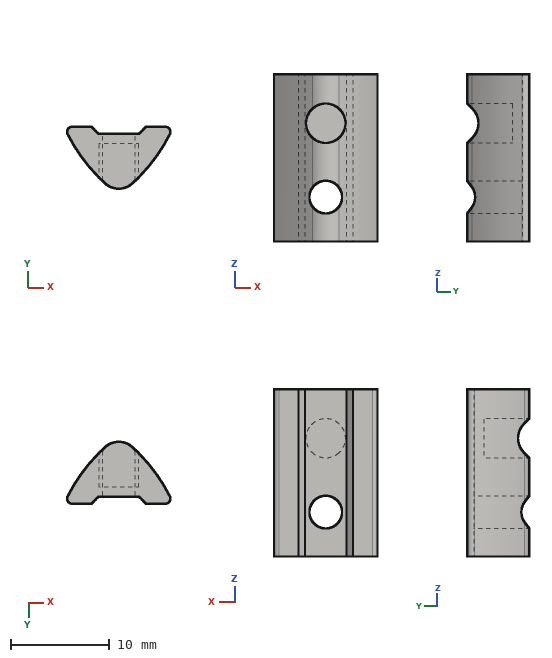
import cadquery as cq
import math

length = 17.0
width = 10.5
depth = 6.3

corner_radius = 0.53
nose_radius = 2.0
flank_radius = 17.0
groove_mouth_width = 5.5
groove_floor_width = 4.18
groove_depth = 0.7

blind_hole_diameter = 4.0
blind_hole_height = 12.0
blind_hole_depth = 4.59
through_hole_diameter = 3.3
through_hole_height = 4.5

corner_center = (width / 2 - corner_radius, -corner_radius)
nose_center = (0.0, nose_radius - depth)


def flank_center():
    """Centre of the arc that is tangent to the nose and corner rounds, enclosing both."""
    to_nose = flank_radius - nose_radius
    to_corner = flank_radius - corner_radius
    dx = corner_center[0] - nose_center[0]
    dy = corner_center[1] - nose_center[1]
    span = math.hypot(dx, dy)
    along = (to_nose**2 - to_corner**2 + span**2) / (2 * span)
    across = math.sqrt(to_nose**2 - along**2)
    x = nose_center[0] + (along * dx - across * dy) / span
    y = nose_center[1] + (along * dy + across * dx) / span
    return x, y


def point_on_circle(center, radius, angle):
    return center[0] + radius * math.cos(angle), center[1] + radius * math.sin(angle)


def direction(start, end):
    return math.atan2(end[1] - start[1], end[0] - start[0])


def mirrored(point):
    return -point[0], point[1]


def make_body():
    center = flank_center()
    nose_angle = direction(center, nose_center)
    corner_angle = direction(center, corner_center)
    nose_end = point_on_circle(center, flank_radius, nose_angle)
    flank_middle = point_on_circle(center, flank_radius, (nose_angle + corner_angle) / 2)
    flank_end = point_on_circle(center, flank_radius, corner_angle)
    corner_middle = point_on_circle(corner_center, corner_radius, (corner_angle + math.pi / 2) / 2)
    back_end = (corner_center[0], 0)
    groove_mouth = (groove_mouth_width / 2, 0)
    groove_floor = (groove_floor_width / 2, -groove_depth)
    return (
        cq.Workplane("XY")
        .moveTo(*mirrored(nose_end))
        .threePointArc((0, -depth), nose_end)
        .threePointArc(flank_middle, flank_end)
        .threePointArc(corner_middle, back_end)
        .lineTo(*groove_mouth)
        .lineTo(*groove_floor)
        .lineTo(*mirrored(groove_floor))
        .lineTo(*mirrored(groove_mouth))
        .lineTo(*mirrored(back_end))
        .threePointArc(mirrored(corner_middle), mirrored(flank_end))
        .threePointArc(mirrored(flank_middle), mirrored(nose_end))
        .close()
        .extrude(length)
    )


def hole_cutter(diameter, height, hole_depth):
    """Cylinder along Y, starting at the nose tip."""
    return (
        cq.Workplane("XZ", origin=(0, -depth, height))
        .circle(diameter / 2)
        .extrude(-hole_depth)
    )


blind_hole = hole_cutter(blind_hole_diameter, blind_hole_height, blind_hole_depth)
through_hole = hole_cutter(through_hole_diameter, through_hole_height, depth)
result = make_body().cut(blind_hole).cut(through_hole)